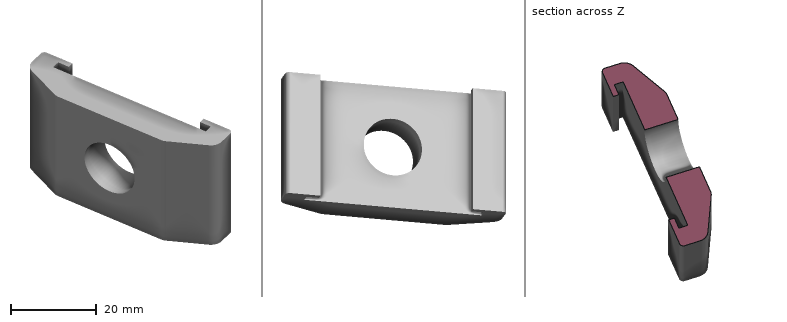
import cadquery as cq
import math

width = 53.0
depth = 12.0
height = 30.0

front_flat_width = 30.0
flank_angle = 25.0
flank_radius = 3.0
back_corner_radius = 1.0

lip_thickness = 1.5
channel_depth = 2.1
channel_width = 42.6
mouth_width = 36.6

bore_diameter = 14.0

half_width = width / 2
half_front = front_flat_width / 2
half_height = height / 2
flank_rise = (half_width - half_front) * math.tan(math.radians(flank_angle))


def make_body():
    """Full-height prism with sloped front flanks and rounded vertical edges."""
    outline = [
        (-half_front, 0),
        (half_front, 0),
        (half_width, flank_rise),
        (half_width, depth),
        (-half_width, depth),
        (-half_width, flank_rise),
    ]
    prism = cq.Workplane("XY").polyline(outline).close().extrude(height)
    prism = prism.translate((0, 0, -half_height))
    rounded = prism.edges("|Z and (not >Y)").fillet(flank_radius)
    back_corners = cq.selectors.BoxSelector(
        (-width, depth - back_corner_radius, -height),
        (width, depth + back_corner_radius, height),
    )
    return rounded.edges("|Z").edges(back_corners).fillet(back_corner_radius)


def full_height_slot(slot_width, front_y, back_y):
    """Rectangular cutter running through the full height, centred on X."""
    return (
        cq.Workplane("XY")
        .box(slot_width, back_y - front_y, height)
        .translate((0, (front_y + back_y) / 2, 0))
    )


def make_channel():
    """Wide channel behind two inward lips, open at the back through the mouth."""
    lip_y = depth - lip_thickness
    floor_y = lip_y - channel_depth
    channel = full_height_slot(channel_width, floor_y, lip_y)
    mouth = full_height_slot(mouth_width, floor_y, depth)
    return channel.union(mouth)


def make_bore():
    """Round hole from the front face through to the back."""
    return cq.Workplane("XZ").circle(bore_diameter / 2).extrude(-depth)


result = make_body().cut(make_channel()).cut(make_bore())